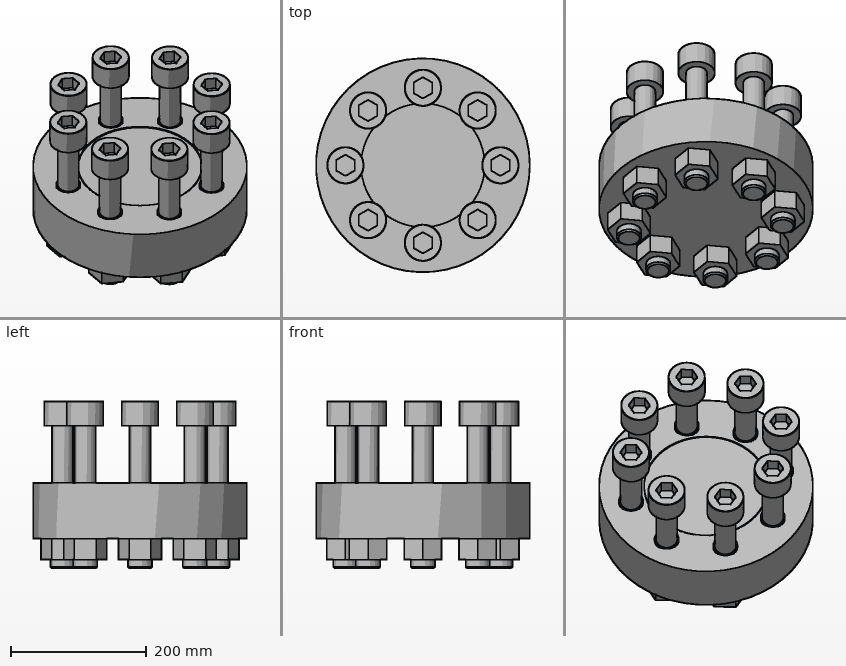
import cadquery as cq
import math

FLANGE_DIAMETER = 315
FLANGE_THICKNESS = 82.2
RECESS_DIAMETER = 182.0
RECESS_DEPTH = 2.0

BOLT_COUNT = 8
BOLT_CIRCLE_DIAMETER = 228.0

HEAD_DIAMETER = 54.0
HEAD_HEIGHT = 36.2
HEAD_CHAMFER = 0.5
HEAD_CLEARANCE = 83.8
SOCKET_ACROSS_FLATS = 27.0
SOCKET_DEPTH = 19
SHANK_DIAMETER = 31.2
THREAD_DIAMETER = 36.0
THREAD_PROTRUSION = 13.0

NUT_ACROSS_FLATS = 55.0
NUT_HEIGHT = 31.0

THREAD_CHAMFER = (THREAD_DIAMETER - SHANK_DIAMETER) / 2
THREAD_BOTTOM = -NUT_HEIGHT - THREAD_PROTRUSION
HEAD_BOTTOM = FLANGE_THICKNESS + HEAD_CLEARANCE
HEAD_TOP = HEAD_BOTTOM + HEAD_HEIGHT


def cylinder(diameter, bottom, top):
    """Round bar on the Z axis between two heights."""
    return cq.Workplane("XY").workplane(offset=bottom).circle(diameter / 2).extrude(top - bottom)


def hexagon(across_flats, bottom, top):
    """Hexagonal bar on the Z axis with corners pointing along +Y and -Y."""
    across_corners = across_flats / math.cos(math.radians(30))
    base = cq.Workplane("XY").workplane(offset=bottom)
    base = base.transformed(rotate=(0, 0, 30))
    return base.polygon(6, across_corners).extrude(top - bottom)


def at_bolt_positions(body):
    """Copies of a body at every position on the bolt circle, all turned the same way."""
    ring = cq.Workplane("XY").polarArray(BOLT_CIRCLE_DIAMETER / 2, 0, 360, BOLT_COUNT, rotate=False)
    return ring.eachpoint(lambda location: body.val().moved(location))


def make_flange():
    """Disc with a shallow round recess on top and a through hole for each bolt."""
    disc = cylinder(FLANGE_DIAMETER, 0, FLANGE_THICKNESS)
    recess = cylinder(RECESS_DIAMETER, FLANGE_THICKNESS - RECESS_DEPTH, FLANGE_THICKNESS)
    hole = cylinder(THREAD_DIAMETER, 0, FLANGE_THICKNESS)
    return disc.cut(recess).cut(at_bolt_positions(hole))


def make_bolt():
    """Bolt on the Z axis; its thread fills the flange hole and ends flush with the top face."""
    head = cylinder(HEAD_DIAMETER, HEAD_BOTTOM, HEAD_TOP).faces(">Z").chamfer(HEAD_CHAMFER)
    socket = hexagon(SOCKET_ACROSS_FLATS, HEAD_TOP - SOCKET_DEPTH, HEAD_TOP)
    shank = cylinder(SHANK_DIAMETER, 0, HEAD_BOTTOM)
    thread = cylinder(THREAD_DIAMETER, THREAD_BOTTOM, FLANGE_THICKNESS)
    thread = thread.faces("<Z or >Z").chamfer(THREAD_CHAMFER)
    return head.cut(socket).union(shank).union(thread)


nut = hexagon(NUT_ACROSS_FLATS, -NUT_HEIGHT, 0)
fastener = make_bolt().union(nut)
result = make_flange().union(at_bolt_positions(fastener))